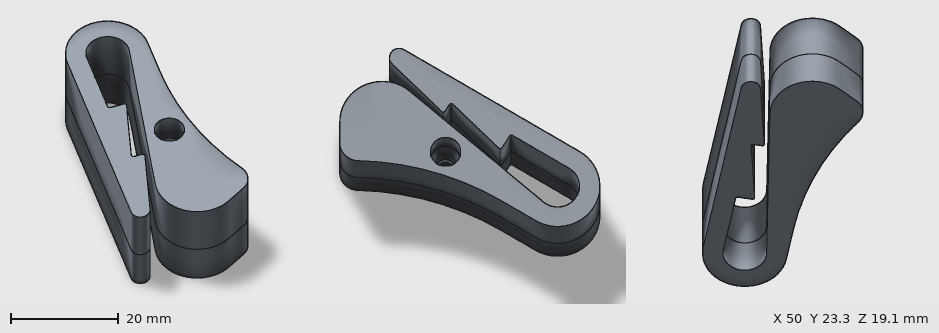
import cadquery as cq
import math

total_length = 50.05
total_width = 23.3
total_height = 19.05
base_height = 8.25
cover_height = total_height - base_height

bend_radius = 7.85
slot_radius = 4.05
bend_x = bend_radius
bend_y = bend_radius

tip_radius = 1.8
tip_x = 45.95
tooth_angle = math.radians(13.8)
inner_tooth_x = 20.5
inner_tooth_top = 7.35
outer_tooth_x = 33.2
tooth_fillet = 0.4

end_radius = 7.85
end_x = total_length - end_radius
end_y = 14.1
crown_radius = 3.5
crown_x = 43.85
crown_y = total_width - crown_radius
back_y = 2 * bend_radius
hollow_start_x = 15.25

screw_x = 29.05
screw_y = 12.95
head_radius = 2.8
clearance_radius = 1.75
pilot_radius = 1.3
head_seat_height = 4.0
countersink_angle = math.radians(90)
pilot_depth = 5.0
drill_point_angle = math.radians(118)


def on_circle(x, y, radius, angle):
    """Point on a circle at an angle measured counterclockwise from +X."""
    return (x + radius * math.cos(angle), y + radius * math.sin(angle))


def clip_outline():
    """Closed wire of the clip, counterclockwise from the start of the bottom edge."""
    tip_angle = math.pi / 2 - tooth_angle
    tip_end = on_circle(tip_x, tip_radius, tip_radius, tip_angle)
    tip_middle = on_circle(tip_x, tip_radius, tip_radius, (tip_angle - math.pi / 2) / 2)
    tooth_slope = math.tan(tooth_angle)
    outer_tooth_top = tip_end[1] + (tip_end[0] - outer_tooth_x) * tooth_slope
    outer_tooth_root = inner_tooth_top - (outer_tooth_x - inner_tooth_x) * tooth_slope

    center_distance = math.hypot(end_x - bend_x, end_y - bend_y)
    center_angle = math.atan2(end_y - bend_y, end_x - bend_x)
    slot_angle = center_angle + math.acos((slot_radius + end_radius) / center_distance)
    slot_end = on_circle(bend_x, bend_y, slot_radius, slot_angle)
    end_start_angle = slot_angle - math.pi
    end_start = on_circle(end_x, end_y, end_radius, end_start_angle)

    crown_distance = math.hypot(crown_x - end_x, crown_y - end_y)
    crown_direction = math.atan2(crown_y - end_y, crown_x - end_x)
    nose_angle = crown_direction - math.acos((end_radius - crown_radius) / crown_distance)
    end_middle = on_circle(end_x, end_y, end_radius, (end_start_angle + nose_angle) / 2)
    end_finish = on_circle(end_x, end_y, end_radius, nose_angle)
    crown_start = on_circle(crown_x, crown_y, crown_radius, nose_angle)

    hollow_run = crown_x - hollow_start_x
    crown_rise = crown_y - back_y
    hollow_radius = (hollow_run**2 + crown_rise**2 - crown_radius**2) / (2 * (crown_radius + crown_rise))
    hollow_center_y = back_y + hollow_radius
    crown_finish_angle = math.atan2(hollow_center_y - crown_y, hollow_start_x - crown_x)
    crown_middle = on_circle(crown_x, crown_y, crown_radius, (nose_angle + crown_finish_angle) / 2)
    crown_finish = on_circle(crown_x, crown_y, crown_radius, crown_finish_angle)
    hollow_end_angle = crown_finish_angle - math.pi
    hollow_middle_angle = (hollow_end_angle - math.pi / 2) / 2
    hollow_middle = on_circle(hollow_start_x, hollow_center_y, hollow_radius, hollow_middle_angle)

    bend_upper_middle = on_circle(bend_x, bend_y, bend_radius, 3 * math.pi / 4)
    bend_lower_middle = on_circle(bend_x, bend_y, bend_radius, 5 * math.pi / 4)

    return (
        cq.Workplane("XY")
        .moveTo(bend_x, 0)
        .lineTo(tip_x, 0)
        .threePointArc(tip_middle, tip_end)
        .lineTo(outer_tooth_x, outer_tooth_top)
        .lineTo(outer_tooth_x, outer_tooth_root)
        .lineTo(inner_tooth_x, inner_tooth_top)
        .lineTo(inner_tooth_x, bend_y - slot_radius)
        .lineTo(bend_x, bend_y - slot_radius)
        .threePointArc((bend_x - slot_radius, bend_y), slot_end)
        .lineTo(*end_start)
        .threePointArc(end_middle, end_finish)
        .lineTo(*crown_start)
        .threePointArc(crown_middle, crown_finish)
        .threePointArc(hollow_middle, (hollow_start_x, back_y))
        .lineTo(bend_x, back_y)
        .threePointArc(bend_upper_middle, (bend_x - bend_radius, bend_y))
        .threePointArc(bend_lower_middle, (bend_x, 0))
        .close()
    )


def clip_layer(bottom, height):
    """One layer of the clip with the tooth corners rounded."""
    layer = clip_outline().extrude(height)
    margin = tooth_fillet
    tooth_zone = cq.selectors.BoxSelector(
        (inner_tooth_x - margin, 0, 0),
        (outer_tooth_x + margin, bend_y, height),
    )
    layer = layer.edges("|Z").edges(tooth_zone).fillet(tooth_fillet)
    return layer.translate((0, 0, bottom))


def revolved_hole(profile):
    """Tool for a round hole from a (radius, height) profile, on the screw axis."""
    tool = cq.Workplane("XZ").polyline(profile).close()
    return tool.revolve(360, (0, 0), (0, 1)).translate((screw_x, screw_y, 0))


def make_base():
    """Lower layer with a blind drilled pilot hole."""
    pilot_bottom = base_height - pilot_depth
    drill_tip = pilot_bottom - pilot_radius / math.tan(drill_point_angle / 2)
    pilot = revolved_hole([
        (0, drill_tip),
        (pilot_radius, pilot_bottom),
        (pilot_radius, base_height),
        (0, base_height),
    ])
    return clip_layer(0, base_height).cut(pilot)


def make_cover():
    """Upper layer with a through hole for a sunk countersunk screw."""
    seat_bottom = base_height + head_seat_height
    seat_top = seat_bottom + (head_radius - clearance_radius) / math.tan(countersink_angle / 2)
    hole = revolved_hole([
        (0, base_height),
        (clearance_radius, base_height),
        (clearance_radius, seat_bottom),
        (head_radius, seat_top),
        (head_radius, total_height),
        (0, total_height),
    ])
    return clip_layer(base_height, cover_height).cut(hole)


base = make_base()
cover = make_cover()

result = cq.Compound.makeCompound([base.val(), cover.val()])